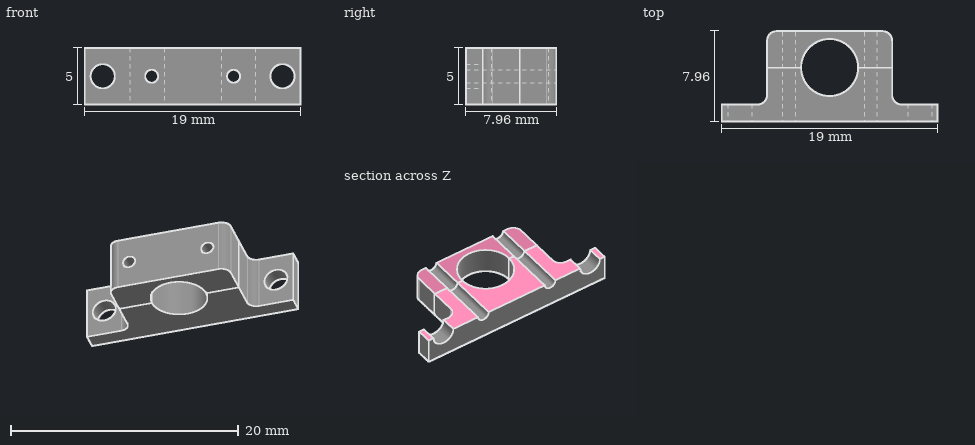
import cadquery as cq

length = 19.0
depth = 7.96
height = 5.0

flange_thickness = 1.5
block_width = 11.02
root_radius = 0.84
corner_radius = 0.87

bore_diameter = 5.0
split_y = 4.75

mount_hole_diameter = 2.1
mount_hole_spacing = 15.8
screw_hole_diameter = 1.12
screw_hole_spacing = 7.2


def box_between(width, y_start, y_end):
    """Full-height box centred on X, from y_start to y_end."""
    size_y = y_end - y_start
    return cq.Workplane("XY").workplane(origin=(0, y_start, 0)).box(
        width, size_y, height, centered=(True, False, False)
    )


def hole_pair(diameter, spacing):
    """Two cylinders along Y through the whole depth, mirrored about X = 0."""
    return (
        cq.Workplane("XZ")
        .pushPoints([(side * spacing / 2, height / 2) for side in (-1, 1)])
        .circle(diameter / 2)
        .extrude(-depth)
    )


def shaft_bore():
    """Cylinder of the shaft, along Z."""
    return cq.Workplane("XY").center(0, split_y).circle(bore_diameter / 2).extrude(height)


def make_base():
    """Flanged lower half of the clamp."""
    flange = box_between(length, 0, flange_thickness)
    block = box_between(block_width, 0, split_y)
    root_points = [(side * block_width / 2, flange_thickness, height / 2) for side in (-1, 1)]
    body = flange.union(block)
    for point in root_points:
        body = body.edges(cq.selectors.NearestToPointSelector(point)).fillet(root_radius)
    return (
        body.cut(shaft_bore())
        .cut(hole_pair(mount_hole_diameter, mount_hole_spacing))
        .cut(hole_pair(screw_hole_diameter, screw_hole_spacing))
    )


def make_cap():
    """Upper half of the clamp, with rounded outer corners."""
    body = box_between(block_width, split_y, depth).edges("|Z and >Y").fillet(corner_radius)
    return body.cut(shaft_bore()).cut(hole_pair(screw_hole_diameter, screw_hole_spacing))


base = make_base()
cap = make_cap()

result = cq.Compound.makeCompound([base.val(), cap.val()])